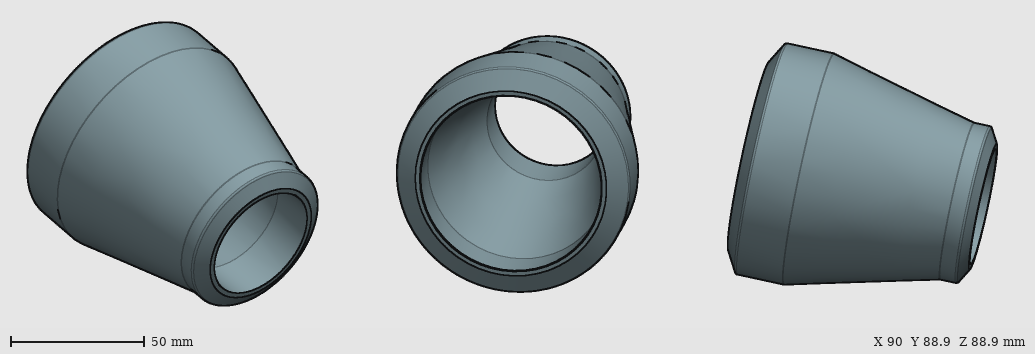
import cadquery as cq
import math

length = 90.0
large_outer_diameter = 88.9
large_wall = 10.0
small_outer_diameter = 60.3
small_wall = 8.0
large_collar_length = 23.0
small_collar_length = 10.0
large_bore_depth = 15.0
small_bore_depth = 18.0

land_width = 2.0
bevel_angle = 30.0

corner_radius = 1.0

rim_chamfer = 0.3

large_outer_radius = large_outer_diameter / 2
large_inner_radius = large_outer_radius - large_wall
small_outer_radius = small_outer_diameter / 2
small_inner_radius = small_outer_radius - small_wall
cone_start = large_collar_length
cone_end = length - small_collar_length


def bevel_length(wall):
    """Axial length of the bevel that leaves the flat land on a wall."""
    return (wall - land_width) * math.tan(math.radians(bevel_angle))


def make_reducer():
    """Revolve the sharp-cornered wall section (axial position, radius) about X."""
    section = [
        (rim_chamfer, large_inner_radius),
        (0, large_inner_radius + rim_chamfer),
        (0, large_inner_radius + land_width),
        (bevel_length(large_wall), large_outer_radius),
        (cone_start, large_outer_radius),
        (cone_end, small_outer_radius),
        (length - bevel_length(small_wall), small_outer_radius),
        (length, small_inner_radius + land_width),
        (length, small_inner_radius),
        (length - small_bore_depth, small_inner_radius),
        (large_bore_depth, large_inner_radius),
    ]
    return cq.Workplane("XY").polyline(section).close().revolve(360, (0, 0, 0), (1, 0, 0))


def round_collar_corners(body, collar_radius):
    """Round the circular edges at both ends of the collar of the given radius."""
    collar_edges = body.edges("%CIRCLE").filter(
        lambda edge: math.isclose(edge.radius(), collar_radius)
    )
    return collar_edges.fillet(corner_radius)


reducer = make_reducer()
reducer = round_collar_corners(reducer, large_outer_radius)
result = round_collar_corners(reducer, small_outer_radius)